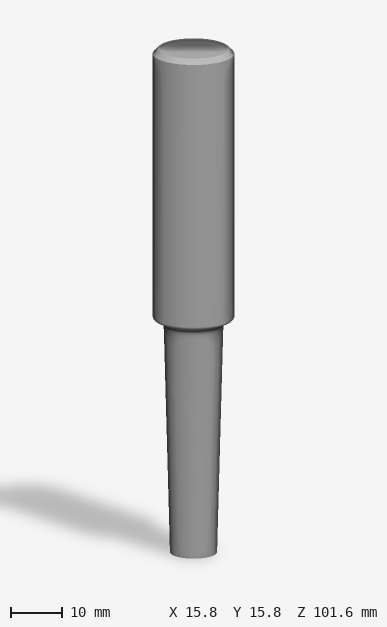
import cadquery as cq

total_length = 101.6
shank_radius = 15.8 / 2
top_chamfer = 1.0

pin_length = 45.8
pin_tip_radius = 9.1 / 2
pin_root_radius = 11.6 / 2

root_fillet = 0.6
cone_height = 0.6
rim_radius = 0.6

cone_bottom = pin_length + root_fillet
cone_top = cone_bottom + cone_height

half_outline = (
    cq.Workplane("XZ")
    .moveTo(0, 0)
    .lineTo(pin_tip_radius, 0)
    .lineTo(pin_root_radius, pin_length)
    .radiusArc((pin_root_radius + root_fillet, cone_bottom), root_fillet)
    .lineTo(shank_radius - rim_radius, cone_top)
    .radiusArc((shank_radius, cone_top + rim_radius), -rim_radius)
    .lineTo(shank_radius, total_length - top_chamfer)
    .lineTo(shank_radius - top_chamfer, total_length)
    .lineTo(0, total_length)
    .close()
)

result = half_outline.revolve(360, (0, 0, 0), (0, 1, 0))